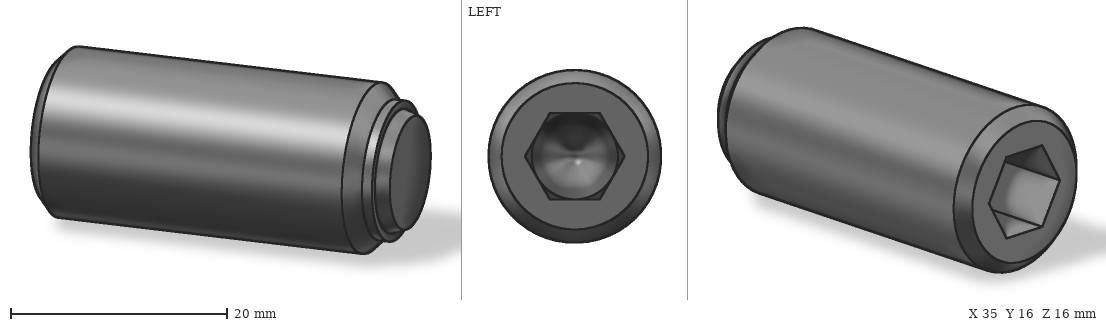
import cadquery as cq
import math

length = 35.0
body_diameter = 16.0
body_radius = body_diameter / 2

drive_chamfer = 1.22

tip_length = 1.3
collar_length = 0.98
collar_radius = 6.58
nose_cone_length = 1.47

ball_radius = 6.0
flat_radius = 5.32

hex_across_flats = 7.98
hex_depth = 8.0
drill_point_angle = 100.0

collar_end = length - tip_length
collar_start = collar_end - collar_length
body_end = collar_start - nose_cone_length
ball_center = length - math.sqrt(ball_radius**2 - flat_radius**2)


def ball_radius_at(x):
    """Radius of the ball's cross-section at position x."""
    return math.sqrt(ball_radius**2 - (x - ball_center) ** 2)


def make_screw_body():
    """Chamfered cylinder, collar and flattened ball as one revolved profile."""
    tip_middle = collar_end + tip_length / 2
    profile = (
        cq.Workplane("XY")
        .moveTo(0, 0)
        .lineTo(0, body_radius - drive_chamfer)
        .lineTo(drive_chamfer, body_radius)
        .lineTo(body_end, body_radius)
        .lineTo(collar_start, collar_radius)
        .lineTo(collar_end, collar_radius)
        .lineTo(collar_end, ball_radius_at(collar_end))
        .threePointArc((tip_middle, ball_radius_at(tip_middle)), (length, flat_radius))
        .lineTo(length, 0)
        .close()
    )
    return profile.revolve(360, (0, 0, 0), (1, 0, 0))


def make_hex_socket():
    """Hexagonal hole with corners on the Y axis, ending in a drill cone."""
    across_corners = hex_across_flats / math.cos(math.radians(30))
    hexagon = cq.Workplane("YZ").polygon(6, across_corners).extrude(hex_depth)
    drill_radius = hex_across_flats / 2
    drill_cone_depth = drill_radius / math.tan(math.radians(drill_point_angle / 2))
    drill_cone = (
        cq.Workplane("XY")
        .moveTo(0, 0)
        .lineTo(0, drill_radius)
        .lineTo(hex_depth, drill_radius)
        .lineTo(hex_depth + drill_cone_depth, 0)
        .close()
        .revolve(360, (0, 0, 0), (1, 0, 0))
    )
    return hexagon.union(drill_cone)


result = make_screw_body().cut(make_hex_socket())